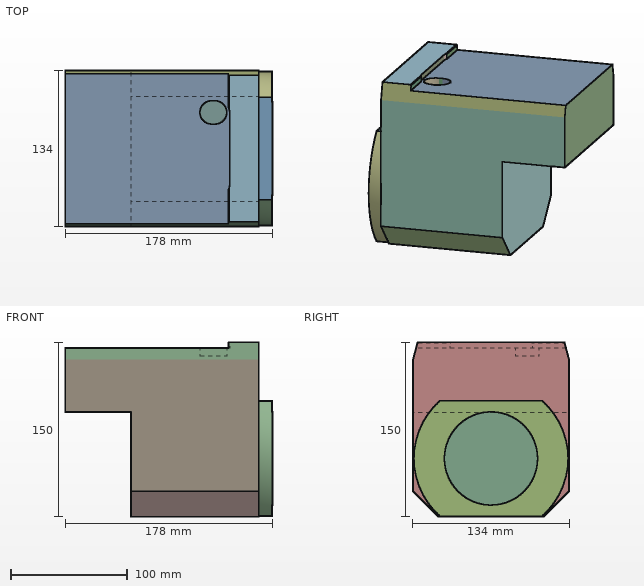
import cadquery as cq
import math

body_length = 166.0
body_width = 134.0
body_height = 150.0
overhang_length = 56.3
head_height = 60.0
bottom_chamfer = 22.0

flank_height = 15.0
flank_angle = math.radians(15)

rib_width = 26.0
rib_height = 5.0
relief_depth = 1.0
relief_outer_width = 70.8
relief_inner_width = 61.4
rib_edge_chamfer = 0.5

slot_length = 23.0
slot_width = 20.0
slot_depth = 6.5
slot_x = 127.0
slot_y = 31.0

flange_diameter = 132.25
flange_height = 99.0
flange_thickness = 11.5
disc_diameter = 80.0
disc_thickness = 0.5
flange_axis_z = 50.2

deck_z = body_height - rib_height
rib_x = body_length - rib_width


def make_body():
    """Side profile with the cross-section's sloped flanks and bottom chamfers."""
    side = (
        cq.Workplane("XZ")
        .moveTo(0, body_height - head_height)
        .lineTo(0, deck_z)
        .lineTo(rib_x, deck_z)
        .lineTo(rib_x, body_height)
        .lineTo(body_length, body_height)
        .lineTo(body_length, 0)
        .lineTo(overhang_length, 0)
        .lineTo(overhang_length, body_height - head_height)
        .close()
        .extrude(body_width / 2, both=True)
    )
    half_width = body_width / 2
    half_top = half_width - flank_height * math.tan(flank_angle)
    half_bottom = half_width - bottom_chamfer
    section = (
        cq.Workplane("YZ")
        .moveTo(-half_bottom, 0)
        .lineTo(half_bottom, 0)
        .lineTo(half_width, bottom_chamfer)
        .lineTo(half_width, body_height - flank_height)
        .lineTo(half_top, body_height)
        .lineTo(-half_top, body_height)
        .lineTo(-half_width, body_height - flank_height)
        .lineTo(-half_width, bottom_chamfer)
        .close()
        .extrude(body_length)
    )
    return side.intersect(section)


def make_rib_relief():
    """Shallow recess in the rib's front face; each end curves out, tangent to the recess floor."""
    half_inner = relief_inner_width / 2
    half_outer = relief_outer_width / 2
    run_out = half_outer - half_inner
    run_out_radius = (run_out**2 + relief_depth**2) / (2 * relief_depth)
    half_arc = math.asin(run_out / run_out_radius) / 2
    mid_x = relief_depth - run_out_radius * (1 - math.cos(half_arc))
    mid_y = half_inner + run_out_radius * math.sin(half_arc)
    return (
        cq.Workplane("XY", origin=(rib_x, 0, deck_z))
        .moveTo(0, -half_outer)
        .threePointArc((mid_x, -mid_y), (relief_depth, -half_inner))
        .lineTo(relief_depth, half_inner)
        .threePointArc((mid_x, mid_y), (0, half_outer))
        .close()
        .extrude(rib_height)
    )


def make_rib_edge_cut():
    """Chamfer along the rib's top front edge, shallower than the relief."""
    return (
        cq.Workplane("XZ", origin=(rib_x, 0, body_height))
        .lineTo(rib_edge_chamfer, 0)
        .lineTo(0, -rib_edge_chamfer)
        .close()
        .extrude(body_width / 2, both=True)
    )


def make_slot():
    """Shallow round-ended pocket sunk into the deck, long side along X."""
    return (
        cq.Workplane("XY", origin=(slot_x, slot_y, deck_z))
        .slot2D(slot_length, slot_width)
        .extrude(-slot_depth)
    )


def make_flange():
    """Truncated round flange with the thin disc on its face."""
    flats = cq.Workplane("XY").box(
        flange_thickness, flange_diameter, flange_height, centered=(False, True, True)
    )
    flange = cq.Workplane("YZ").circle(flange_diameter / 2).extrude(flange_thickness).intersect(flats)
    disc = cq.Workplane("YZ").circle(disc_diameter / 2).extrude(flange_thickness + disc_thickness)
    return flange.union(disc).translate((body_length, 0, flange_axis_z))


body = make_body().cut(make_rib_relief()).cut(make_rib_edge_cut()).cut(make_slot())
result = body.union(make_flange())